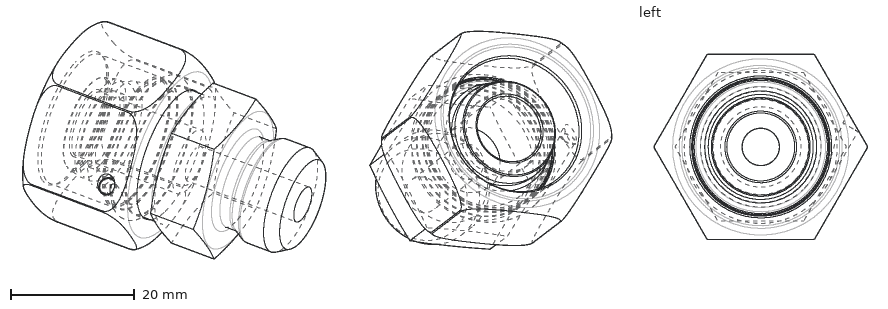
import cadquery as cq
import math



def tan_deg(angle):
    return math.tan(math.radians(angle))


def sin_deg(angle):
    return math.sin(math.radians(angle))


def cos_deg(angle):
    return math.cos(math.radians(angle))


HEX_HALF_ANGLE = 30.0

NUT_LENGTH = 19.0
NUT_FLATS = 30.0
NUT_CORNER_R = 17.25
NUT_ROUND = 3.0
THREAD_R = 22.38 / 2
NUT_REAR_BORE_R = 22.25 / 2
MOUTH_R = 13.18
COUNTERSINK_R = 12.75
COUNTERSINK_END_R = 11.48
MOUTH_ANGLE = 75.0
COUNTERSINK_ANGLE = 60.0
LEAD_IN_ANGLE = 30.0

NOSE_X = 3.5
NOSE_R = 8.0
NOSE_CHAMFER = 0.2
CONE_ANGLE = 12.0
GROOVE_FRONT_R = 8.5
GROOVE_REAR_R = 9.07
CONE_END_R = 9.78
CONE_FILLET = 0.725
COLLAR_R = 21.95 / 2
COLLAR_CHAMFER = 0.2
BORE_R = 11.0 / 2
BORE_CHAMFER = 0.3
BORE_END_X = 22.5
DRILL_TIP_ANGLE = 70.0
THROUGH_R = 6.0 / 2

HEX_FLATS = 24.0
HEX_START_X = 22.5
HEX_END_X = 31.5
HEX_CHAMFER_START_R = 11.8
HEX_CHAMFER_ANGLE = 15.0
HEX_CORNER_R = HEX_FLATS / 2 / cos_deg(HEX_HALF_ANGLE)
HEX_CHAMFER_X = (HEX_CORNER_R - HEX_CHAMFER_START_R) * tan_deg(HEX_CHAMFER_ANGLE)

BODY_END_X = 43.5
STUD_R = 18.0 / 2
NECK_R = 15.6 / 2
NECK_FILLET = 1.0
NECK_END_X = 34.35
STUD_ANGLE = 30.0
STUD_ROUND = 0.6
STUD_CHAMFER_LENGTH = 2.25

O_RING_SECTION_R = 1.0
O_RING_CENTRE_R = GROOVE_FRONT_R - O_RING_SECTION_R
GROOVE_FLOOR_R = O_RING_CENTRE_R - O_RING_SECTION_R

WIRE_X = 15.5
WIRE_SECTION_R = 2.65 / 2
WIRE_CENTRE_R = (COLLAR_R + NUT_REAR_BORE_R) / 2
FEED_MOUTH_R = 3.0 / 2
FEED_MOUTH_START = 10.0
FEED_LENGTH = 15.0
FEED_ANGLE = 120.0

CONE_START_X = NOSE_X + NOSE_CHAMFER
GROOVE_FRONT_X = CONE_START_X + (GROOVE_FRONT_R - NOSE_R) / tan_deg(CONE_ANGLE)
GROOVE_REAR_X = CONE_START_X + (GROOVE_REAR_R - NOSE_R) / tan_deg(CONE_ANGLE)
CONE_END_X = CONE_START_X + (CONE_END_R - NOSE_R) / tan_deg(CONE_ANGLE)
COLLAR_X = CONE_END_X + CONE_FILLET * (1 - sin_deg(CONE_ANGLE))
CONE_FILLET_END_R = CONE_END_R + CONE_FILLET * cos_deg(CONE_ANGLE)


def revolve(profile):
    """Turn a closed (x, radius) profile about the X axis."""
    return profile.close().revolve(360, (0, 0, 0), (1, 0, 0))


def ring(x, centre_r, section_r):
    """Full ring of round section about the X axis."""
    return cq.Workplane("XY").center(x, centre_r).circle(section_r).revolve(
        360, (0, -centre_r, 0), (1, -centre_r, 0))


def hexagon(start_x, length, flats):
    """Hexagonal bar with flats at the top and bottom."""
    return (cq.Workplane("YZ", origin=(start_x, 0, 0))
            .polygon(6, flats / cos_deg(HEX_HALF_ANGLE)).extrude(length))


def turned_core():
    """Everything on the body that is turned, without its bore and wire groove."""
    collar_fillet = HEX_CHAMFER_START_R - COLLAR_R
    neck_fillet_start_r = NECK_R + NECK_FILLET
    neck_rise_x = NECK_END_X + NECK_FILLET * sin_deg(STUD_ANGLE)
    neck_rise_r = NECK_R + NECK_FILLET * (1 - cos_deg(STUD_ANGLE))
    stud_round_r = STUD_R - STUD_ROUND * (1 - cos_deg(STUD_ANGLE))
    stud_round_x = neck_rise_x + (stud_round_r - neck_rise_r) / tan_deg(STUD_ANGLE)
    stud_start_x = stud_round_x + STUD_ROUND * sin_deg(STUD_ANGLE)
    stud_end_r = STUD_R - STUD_CHAMFER_LENGTH * tan_deg(STUD_ANGLE)
    return revolve(
        cq.Workplane("XY")
        .moveTo(NOSE_X, 0)
        .lineTo(NOSE_X, NOSE_R - NOSE_CHAMFER)
        .lineTo(CONE_START_X, NOSE_R)
        .lineTo(GROOVE_FRONT_X, GROOVE_FRONT_R)
        .lineTo(GROOVE_FRONT_X, GROOVE_FLOOR_R)
        .lineTo(GROOVE_REAR_X, GROOVE_FLOOR_R)
        .lineTo(GROOVE_REAR_X, GROOVE_REAR_R)
        .lineTo(CONE_END_X, CONE_END_R)
        .tangentArcPoint((COLLAR_X, CONE_FILLET_END_R), relative=False)
        .lineTo(COLLAR_X, COLLAR_R - COLLAR_CHAMFER)
        .lineTo(COLLAR_X + COLLAR_CHAMFER, COLLAR_R)
        .lineTo(HEX_START_X - collar_fillet, COLLAR_R)
        .tangentArcPoint((HEX_START_X, HEX_CHAMFER_START_R), relative=False)
        .lineTo(HEX_END_X, HEX_CHAMFER_START_R)
        .lineTo(HEX_END_X, neck_fillet_start_r)
        .tangentArcPoint((HEX_END_X + NECK_FILLET, NECK_R), relative=False)
        .lineTo(NECK_END_X, NECK_R)
        .tangentArcPoint((neck_rise_x, neck_rise_r), relative=False)
        .lineTo(stud_round_x, stud_round_r)
        .tangentArcPoint((stud_start_x, STUD_R), relative=False)
        .lineTo(BODY_END_X - STUD_CHAMFER_LENGTH, STUD_R)
        .lineTo(BODY_END_X, stud_end_r)
        .lineTo(BODY_END_X, 0)
    )


def body_hexagon():
    """Spanner hexagon with its corners chamfered at both ends."""
    corner_chamfers = revolve(
        cq.Workplane("XY")
        .moveTo(HEX_START_X, 0)
        .lineTo(HEX_START_X, HEX_CHAMFER_START_R)
        .lineTo(HEX_START_X + HEX_CHAMFER_X, HEX_CORNER_R)
        .lineTo(HEX_END_X - HEX_CHAMFER_X, HEX_CORNER_R)
        .lineTo(HEX_END_X, HEX_CHAMFER_START_R)
        .lineTo(HEX_END_X, 0)
    )
    return hexagon(HEX_START_X, HEX_END_X - HEX_START_X, HEX_FLATS).intersect(corner_chamfers)


def body_bore():
    """Bore from the nose with a drill-point end, and the smaller hole through the rest."""
    drill_tip = (BORE_R - THROUGH_R) / tan_deg(DRILL_TIP_ANGLE)
    return revolve(
        cq.Workplane("XY")
        .moveTo(NOSE_X, 0)
        .lineTo(NOSE_X, BORE_R + BORE_CHAMFER)
        .lineTo(NOSE_X + BORE_CHAMFER, BORE_R)
        .lineTo(BORE_END_X, BORE_R)
        .lineTo(BORE_END_X + drill_tip, THROUGH_R)
        .lineTo(BODY_END_X, THROUGH_R)
        .lineTo(BODY_END_X, 0)
    )


def wire_ring():
    """Ring that fills the facing grooves of the body and the nut."""
    return ring(WIRE_X, WIRE_CENTRE_R, WIRE_SECTION_R)


def nut_blank():
    """Hexagon with both ends rounded off."""
    end_r = NUT_CORNER_R - NUT_ROUND
    turned = revolve(
        cq.Workplane("XY")
        .lineTo(0, end_r)
        .radiusArc((NUT_ROUND, NUT_CORNER_R), NUT_ROUND)
        .lineTo(NUT_LENGTH - NUT_ROUND, NUT_CORNER_R)
        .radiusArc((NUT_LENGTH, end_r), NUT_ROUND)
        .lineTo(NUT_LENGTH, 0)
    )
    return hexagon(0, NUT_LENGTH, NUT_FLATS).intersect(turned)


def nut_bore():
    """Chamfered countersink, thread bore and the slightly smaller rear bore."""
    countersink_x = (MOUTH_R - COUNTERSINK_R) / tan_deg(MOUTH_ANGLE)
    lead_in_x = countersink_x + (COUNTERSINK_R - COUNTERSINK_END_R) / tan_deg(COUNTERSINK_ANGLE)
    thread_x = lead_in_x + (COUNTERSINK_END_R - THREAD_R) / tan_deg(LEAD_IN_ANGLE)
    return revolve(
        cq.Workplane("XY")
        .lineTo(0, MOUTH_R)
        .lineTo(countersink_x, COUNTERSINK_R)
        .lineTo(lead_in_x, COUNTERSINK_END_R)
        .lineTo(thread_x, THREAD_R)
        .lineTo(COLLAR_X, THREAD_R)
        .lineTo(COLLAR_X, NUT_REAR_BORE_R)
        .lineTo(NUT_LENGTH, NUT_REAR_BORE_R)
        .lineTo(NUT_LENGTH, 0)
    )


def feed_hole():
    """Stepped hole that meets the wire ring at a tangent."""
    direction = cq.Vector(0, cos_deg(FEED_ANGLE), sin_deg(FEED_ANGLE))
    tangent_point = cq.Vector(WIRE_X, -direction.z * WIRE_CENTRE_R, direction.y * WIRE_CENTRE_R)
    mouth_start = tangent_point + direction * FEED_MOUTH_START
    inner = cq.Solid.makeCylinder(WIRE_SECTION_R, FEED_LENGTH, tangent_point, direction)
    mouth = cq.Solid.makeCylinder(FEED_MOUTH_R, FEED_LENGTH - FEED_MOUTH_START, mouth_start, direction)
    return cq.Workplane(obj=inner).union(cq.Workplane(obj=mouth))


wire = wire_ring()
body = turned_core().union(body_hexagon()).cut(body_bore()).cut(wire)
nut = nut_blank().cut(nut_bore()).cut(wire).cut(feed_hole())
o_ring = ring((GROOVE_FRONT_X + GROOVE_REAR_X) / 2, O_RING_CENTRE_R, O_RING_SECTION_R)

result = cq.Compound.makeCompound([
    body.solids().val(),
    nut.solids().val(),
    wire.val(),
    o_ring.val(),
])